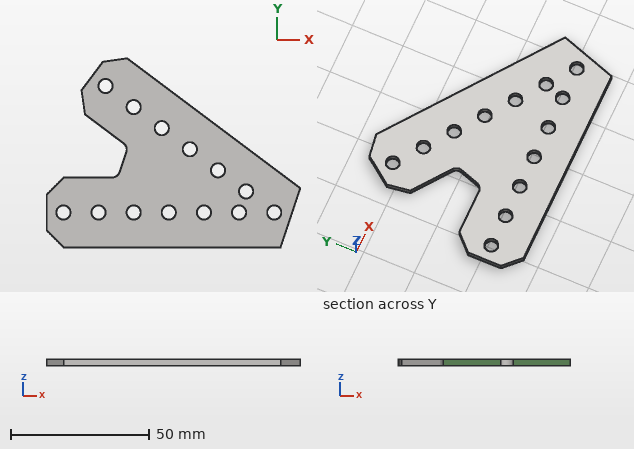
import cadquery as cq
import math

overall_length = 91.7
thickness = 2.5
arm_width = 25.4
hole_diameter = 5.0
holes_per_arm = 7
hole_row_length = 76.2
tip_margin = 6.05
tip_chamfer = 6.2
notch_distance = 57.7
notch_radius = 2.75
arm_angle = math.atan2(3, 4)

half_width = arm_width / 2
half_angle = arm_angle / 2
hole_pitch = hole_row_length / (holes_per_arm - 1)
tip_x = -hole_row_length - tip_margin


def mirrored(point):
    """Reflect a point about the bisector, with the pivot at the origin."""
    x, y = point
    c = math.cos(arm_angle)
    s = math.sin(arm_angle)
    return (x * c - y * s, -x * s - y * c)


nose_x = overall_length + tip_x
nose_y = (half_width - nose_x * math.sin(arm_angle)) / math.cos(arm_angle)
nose_corner = (nose_x, nose_y)

notch_x = (half_width * math.sin(half_angle) - notch_distance) / math.cos(half_angle)

straight_arm = [
    mirrored(nose_corner),
    (tip_x + tip_chamfer, -half_width),
    (tip_x, -half_width + tip_chamfer),
    (tip_x, half_width - tip_chamfer),
    (tip_x + tip_chamfer, half_width),
    (notch_x, half_width),
]
sloping_arm = [mirrored(point) for point in reversed(straight_arm)]
plate = cq.Workplane("XY").polyline(straight_arm + sloping_arm).close().extrude(thickness)

for x, y in (straight_arm[-1], sloping_arm[0]):
    corner = cq.selectors.NearestToPointSelector((x, y, thickness / 2))
    plate = plate.edges("|Z").edges(corner).fillet(notch_radius)

straight_row = [(-i * hole_pitch, 0) for i in range(holes_per_arm)]
sloping_row = [mirrored(point) for point in straight_row[1:]]
holes = (
    cq.Workplane("XY")
    .pushPoints(straight_row + sloping_row)
    .circle(hole_diameter / 2)
    .extrude(thickness)
)

result = plate.cut(holes).translate((-tip_x, half_width, 0))